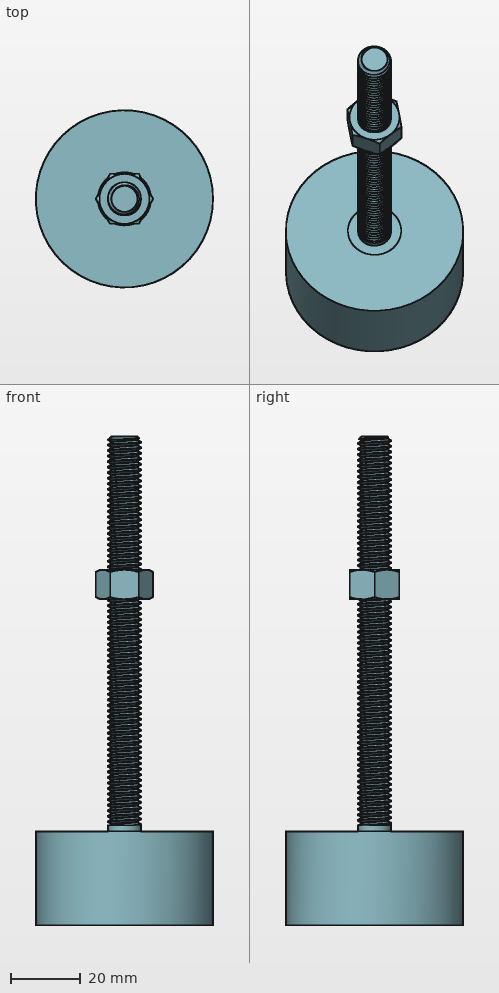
import cadquery as cq
import math

TOTAL_HEIGHT = 140.1

BASE_DIAMETER = 50.9
BASE_HEIGHT = 26.9

INSERT_DIAMETER = 15.3
INSERT_DEPTH = BASE_HEIGHT / 2
INSERT_FLOOR = BASE_HEIGHT - INSERT_DEPTH

STUD_DIAMETER = 9.5
NECK_HEIGHT = 1.8
THREAD_START = BASE_HEIGHT + NECK_HEIGHT
THREAD_LENGTH = TOTAL_HEIGHT - THREAD_START

THREAD_ROOT_DIAMETER = 7.4
THREAD_DEPTH = (STUD_DIAMETER - THREAD_ROOT_DIAMETER) / 2
THREAD_ANGLE = 60.0
ROOT_FLAT = 0.18
TURNS_PER_DIAMETER = 6
THREAD_PITCH = STUD_DIAMETER / TURNS_PER_DIAMETER
THREAD_TURNS = math.ceil(THREAD_LENGTH / THREAD_PITCH)
TIP_CHAMFER = THREAD_DEPTH

THREAD_SEAM_ANGLE = 45.0
THREAD_PHASE = 0.17
EXTRA_TURNS = 3

NUT_SIDES = 6
NUT_ACROSS_FLATS = 14.3
NUT_ACROSS_CORNERS = NUT_ACROSS_FLATS / math.cos(math.pi / NUT_SIDES)
NUT_HEIGHT = 8.4
NUT_BOTTOM = 93.5
NUT_CHAMFER_ANGLE = 30.0


def make_base():
    """Solid cylinder with a blind recess in its top for the insert."""
    base = cq.Workplane("XY").circle(BASE_DIAMETER / 2).extrude(BASE_HEIGHT)
    recess = cq.Workplane("XY", origin=(0, 0, INSERT_FLOOR)).circle(INSERT_DIAMETER / 2)
    return base.cut(recess.extrude(INSERT_DEPTH))


def make_insert():
    """Plain bushing that holds the lower end of the stud."""
    insert = cq.Workplane("XY", origin=(0, 0, INSERT_FLOOR))
    return insert.circle(INSERT_DIAMETER / 2).circle(STUD_DIAMETER / 2).extrude(INSERT_DEPTH)


def helix_edge(radius, bottom):
    """One right-hand turn of a helix around Z, starting above the +X axis."""
    return cq.Wire.makeHelix(THREAD_PITCH, THREAD_PITCH, radius, cq.Vector(0, 0, bottom)).Edges()[0]


def make_screw():
    """Threaded rod with helicoid ends that reach past both ends of the stud's thread."""
    root_radius = THREAD_ROOT_DIAMETER / 2
    crest_radius = STUD_DIAMETER / 2
    flank_height = THREAD_DEPTH * math.tan(math.radians(THREAD_ANGLE / 2))
    crest_flat = THREAD_PITCH - ROOT_FLAT - 2 * flank_height
    tooth_profile = [
        (crest_radius, 0),
        (crest_radius, crest_flat),
        (root_radius, crest_flat + flank_height),
        (root_radius, crest_flat + flank_height + ROOT_FLAT),
        (crest_radius, THREAD_PITCH),
    ]

    helices = [helix_edge(radius, height) for radius, height in tooth_profile]
    turn_faces = [cq.Face.makeRuledSurface(lower, upper) for lower, upper in zip(helices, helices[1:])]

    axis = cq.Edge.makeLine(cq.Vector(0, 0, 0), cq.Vector(0, 0, THREAD_PITCH))
    helicoid = cq.Face.makeRuledSurface(axis, helices[0])
    step_outline = [(0, 0)] + tooth_profile + [(0, THREAD_PITCH)]
    step_wire = cq.Wire.makePolygon([cq.Vector(x, 0, z) for x, z in step_outline], close=True)
    end_faces = [helicoid, cq.Face.makeFromWires(step_wire)]

    turns = THREAD_TURNS + 2 * EXTRA_TURNS
    faces = list(end_faces)
    for index in range(turns):
        faces += [face.translate(cq.Vector(0, 0, index * THREAD_PITCH)) for face in turn_faces]
    faces += [face.translate(cq.Vector(0, 0, turns * THREAD_PITCH)) for face in end_faces]
    screw = cq.Workplane(obj=cq.Solid.makeSolid(cq.Shell.makeShell(faces)))
    screw = screw.rotate((0, 0, 0), (0, 0, 1), THREAD_SEAM_ANGLE)
    return screw.translate((0, 0, THREAD_START - (EXTRA_TURNS - THREAD_PHASE) * THREAD_PITCH))


def make_stud():
    """Plain shank and neck, with a thread above them and a chamfered tip."""
    shank = cq.Workplane("XY", origin=(0, 0, INSERT_FLOOR)).circle(STUD_DIAMETER / 2)
    shank = shank.extrude(THREAD_START - INSERT_FLOOR)

    clearance = THREAD_DEPTH
    envelope = cq.Workplane("XY", origin=(0, 0, THREAD_START)).circle(STUD_DIAMETER / 2 + clearance)
    envelope = envelope.extrude(THREAD_LENGTH).faces(">Z").chamfer(TIP_CHAMFER + clearance)
    return shank.union(make_screw().intersect(envelope))


def make_nut():
    """Hexagonal nut with two corners on the X axis and its corners turned off at both ends."""
    nut = cq.Workplane("XY", origin=(0, 0, NUT_BOTTOM)).polygon(NUT_SIDES, NUT_ACROSS_CORNERS).extrude(NUT_HEIGHT)
    face_radius = NUT_ACROSS_FLATS / 2
    corner_radius = NUT_ACROSS_CORNERS / 2
    drop = (corner_radius - face_radius) * math.tan(math.radians(NUT_CHAMFER_ANGLE))
    top = NUT_BOTTOM + NUT_HEIGHT
    turned_blank = (
        cq.Workplane("XZ")
        .polyline([
            (STUD_DIAMETER / 2, NUT_BOTTOM),
            (face_radius, NUT_BOTTOM),
            (corner_radius, NUT_BOTTOM + drop),
            (corner_radius, top - drop),
            (face_radius, top),
            (STUD_DIAMETER / 2, top),
        ])
        .close()
        .revolve(360, (0, 0, 0), (0, 1, 0))
    )
    return nut.intersect(turned_blank)


base = make_base()
insert = make_insert()
stud = make_stud()
nut = make_nut()

result = cq.Compound.makeCompound([base.val(), insert.val(), stud.val(), nut.val()])